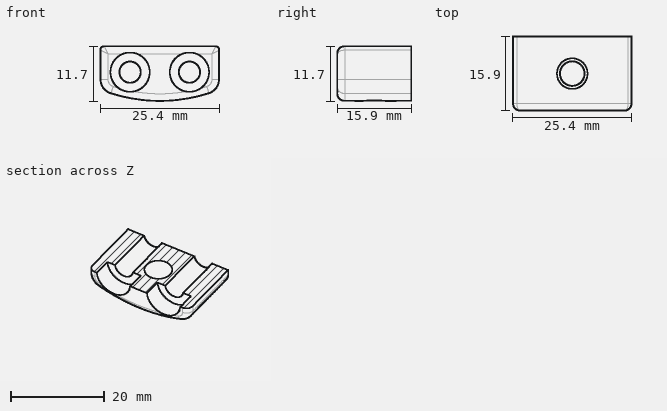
import cadquery as cq
import math

width = 25.4
depth = 15.88
height = 11.73

belly_radius = 34.2
lower_corner_radius = 3.175
upper_corner_radius = 0.79
front_edge_radius = 1.5875

screw_spacing = 12.7
screw_z = -5.556
screw_diameter = 4.5
counterbore_diameter = 8.4
counterbore_depth = 4.2

taper_top_diameter = 6.55
taper_bottom_diameter = 5.2


def make_blank():
    """Extrude the crowned outline, then round the lower edges, front rim and upper edges."""
    half_width = width / 2
    belly_rise = belly_radius - math.sqrt(belly_radius**2 - half_width**2)
    side_bottom = -height + belly_rise
    blank = (
        cq.Workplane("XZ")
        .moveTo(-half_width, 0)
        .lineTo(half_width, 0)
        .lineTo(half_width, side_bottom)
        .threePointArc((0, -height), (-half_width, side_bottom))
        .close()
        .extrude(-depth)
    )
    blank = blank.edges("|Y").edges("<Z").fillet(lower_corner_radius)
    blank = blank.faces("<Y").edges().fillet(front_edge_radius)
    return blank.edges("|Y").edges(">Z").fillet(upper_corner_radius)


def make_screw_hole(x):
    """Cutter for one through hole with its counterbore opening at the front."""
    front = cq.Workplane("XZ").center(x, screw_z)
    bore = front.circle(screw_diameter / 2).extrude(-depth)
    counterbore = front.circle(counterbore_diameter / 2).extrude(-counterbore_depth)
    return bore.union(counterbore)


def make_taper_hole():
    """Cutter for the central hole, narrowing evenly from top to underside."""
    return cq.Workplane(
        cq.Solid.makeCone(
            taper_top_diameter / 2,
            taper_bottom_diameter / 2,
            height,
            pnt=cq.Vector(0, depth / 2, 0),
            dir=cq.Vector(0, 0, -1),
        )
    )


result = make_blank()
for side in (-1, 1):
    result = result.cut(make_screw_hole(side * screw_spacing / 2))
result = result.cut(make_taper_hole())